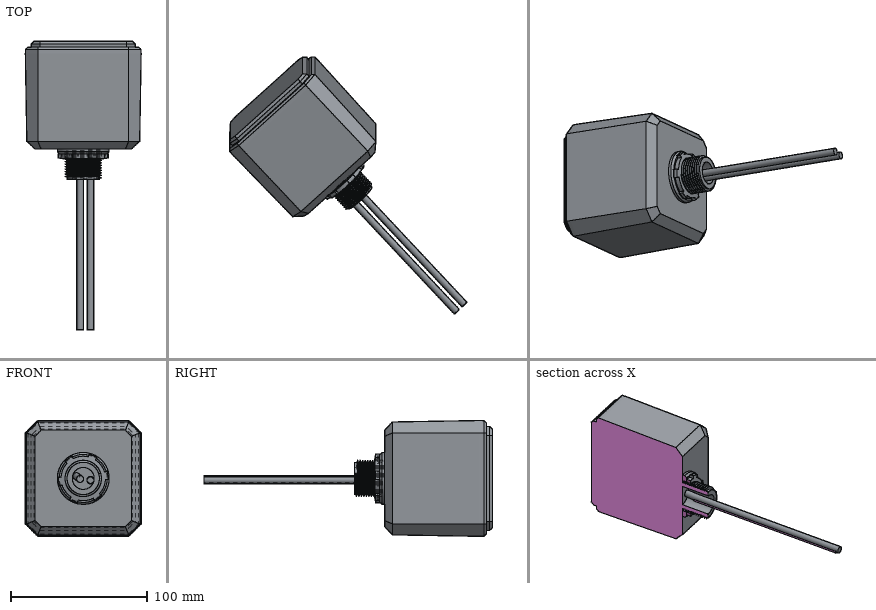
import cadquery as cq
import math


overall_length = 211.5

housing_width = 85.0
housing_depth = 79.0
housing_flat = 66.6
front_edge_width = 83.0
front_face_width = 70.6
front_face_flat = 61.8
front_chamfer_depth = 5.7
band_depth = 3.2
band_draft = 0.2
rear_rim_width = 81.2
rear_rim_depth = 1.7
rear_boss_width = 76.4
rear_boss_flat = 63.0
rear_boss_height = 4.5
rear_boss_chamfer = 2.1

nipple_length = 22.2
nipple_radius = 11.8
bore_radius = 8.0
thread_radius = 13.3
thread_pitch = 1.82
thread_base_width = 1.5
thread_start = 1.0
thread_end = 21.2
thread_root_overlap = 0.5

gasket_radius = 19.0
gasket_top_radius = 17.5
gasket_rim_thickness = 2.0
gasket_thickness = 3.5

nut_radius = 18.5
nut_recess_radius = 16.3
nut_rim_thickness = 3.0
nut_thickness = 3.8
lug_count = 6
lug_angle = 20.0
first_lug_angle = 7.0

wire_radius = 2.5
wire_length = overall_length - housing_depth
wire_bend_length = 10.5
wire_routes = [
    ((-5.0, 1.7), (-2.3, -0.5)),
    ((5.3, -1.0), (5.3, -1.5)),
]


def cut_corner_section(y, width, flat):
    """Closed octagonal wire across the Y axis."""
    side = width / 2
    end = flat / 2
    corners = [
        (end, side),
        (side, end),
        (side, -end),
        (end, -side),
        (-end, -side),
        (-side, -end),
        (-side, end),
        (-end, side),
    ]
    return cq.Wire.makePolygon([cq.Vector(x, y, z) for x, z in corners], close=True)


def frustum(section_1, section_2):
    """Straight-sided solid between two (y, width, flat) sections."""
    wires = [cut_corner_section(*section_1), cut_corner_section(*section_2)]
    return cq.Workplane(obj=cq.Solid.makeLoft(wires, True))


def round_body(profile):
    """Body of revolution about the Y axis from (radius, y) points."""
    return cq.Workplane("XY").polyline(profile).close().revolve(360, (0, 0), (0, 1))


def make_enclosure():
    """Drafted box with chamfered front edges, a narrow rear band and a stepped rear boss."""
    boss_base = housing_depth - rear_boss_height
    boss_edge = housing_depth - rear_boss_chamfer
    rim_edge = boss_base - rear_rim_depth
    boss_top_width = rear_boss_width - 2 * rear_boss_chamfer
    stations = [
        (0, front_face_width, front_face_flat),
        (front_chamfer_depth, front_edge_width, housing_flat),
        (rim_edge - band_depth, housing_width, housing_flat),
        (rim_edge, housing_width - band_draft, housing_flat),
        (boss_base, rear_rim_width, housing_flat),
    ]
    boss_stations = [
        (boss_base, rear_boss_width, rear_boss_flat),
        (boss_edge, rear_boss_width, rear_boss_flat),
        (housing_depth, boss_top_width, rear_boss_flat),
    ]
    body = frustum(*stations[:2])
    for chain in (stations[1:], boss_stations):
        for lower, upper in zip(chain, chain[1:]):
            body = body.union(frustum(lower, upper))
    return body


def make_thread():
    """V-shaped helical ridge, wound along Z and then laid along -Y."""
    helix = cq.Wire.makeHelix(thread_pitch, thread_end - thread_start, nipple_radius)
    root_radius = nipple_radius - thread_root_overlap
    half_width = thread_base_width / 2
    ridge = (
        cq.Workplane("XZ")
        .polyline([(root_radius, -half_width), (thread_radius, 0), (root_radius, half_width)])
        .close()
        .sweep(cq.Workplane(obj=helix), isFrenet=True)
    )
    return ridge.translate((0, 0, thread_start)).rotate((0, 0, 0), (1, 0, 0), 90)


def make_housing():
    """Enclosure and threaded nipple in one, with a bore down to the front face."""
    nipple = cq.Workplane("XZ").circle(nipple_radius).extrude(nipple_length)
    bore = cq.Workplane("XZ").circle(bore_radius).extrude(nipple_length)
    return make_enclosure().union(nipple.union(make_thread())).cut(bore)


def make_gasket():
    """Flat ring whose outer edge tapers toward the lock nut."""
    return round_body([
        (thread_radius, 0),
        (gasket_radius, 0),
        (gasket_radius, -gasket_rim_thickness),
        (gasket_top_radius, -gasket_thickness),
        (thread_radius, -gasket_thickness),
    ])


def polar(radius, degrees):
    """(X, Z) point at the given radius and angle from +X."""
    angle = math.radians(degrees)
    return (radius * math.cos(angle), radius * math.sin(angle))


def make_lock_nut():
    """Ring with a slightly conical face and flat-topped lugs between round recesses."""
    rear = -gasket_thickness
    blank = round_body([
        (thread_radius, rear),
        (nut_radius, rear),
        (nut_radius, rear - nut_rim_thickness),
        (thread_radius, rear - nut_thickness),
    ])
    lug_pitch = 360 / lug_count
    start = first_lug_angle - lug_angle / 2
    outline = cq.Workplane("XZ", origin=(0, rear, 0)).moveTo(*polar(nut_recess_radius, start))
    for lug in range(lug_count):
        lug_start = start + lug * lug_pitch
        lug_end = lug_start + lug_angle
        next_lug = lug_start + lug_pitch
        outline = (
            outline.lineTo(*polar(nut_radius, lug_start))
            .lineTo(*polar(nut_radius, lug_end))
            .lineTo(*polar(nut_recess_radius, lug_end))
            .threePointArc(
                polar(nut_recess_radius, (lug_end + next_lug) / 2),
                polar(nut_recess_radius, next_lug),
            )
        )
    return blank.intersect(outline.close().extrude(nut_thickness))


def make_wire(base, exit_point):
    """Round wire that bends sideways just above the bore floor, then runs straight."""
    outward = cq.Vector(0, -1, 0)
    start = cq.Vector(base[0], 0, base[1])
    bend_end = cq.Vector(exit_point[0], -wire_bend_length, exit_point[1])
    tip = cq.Vector(exit_point[0], -wire_length, exit_point[1])
    bend = cq.Edge.makeSpline([start, bend_end], tangents=[outward, outward])
    path = cq.Wire.assembleEdges([bend, cq.Edge.makeLine(bend_end, tip)])
    section = cq.Workplane("XZ", origin=start.toTuple()).circle(wire_radius)
    return section.sweep(cq.Workplane(obj=path))


housing = make_housing()
gasket = make_gasket()
lock_nut = make_lock_nut()
wires = [make_wire(base, exit_point) for base, exit_point in wire_routes]

result = cq.Compound.makeCompound(
    [
        housing.solids().val(),
        gasket.solids().val(),
        lock_nut.solids().val(),
        *[wire.solids().val() for wire in wires],
    ]
)